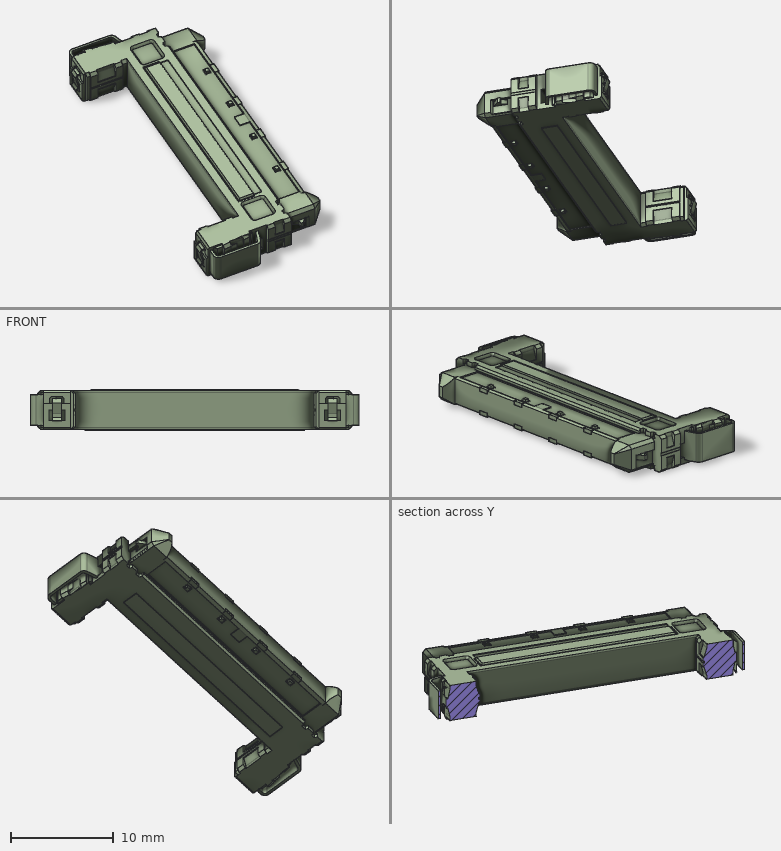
import cadquery as cq
import math

OVERALL_X = 32.0
OVERALL_Y = 13.75
OVERALL_Z = 4.0

TIP_Y = OVERALL_Y / 2
LATCH_Y = -OVERALL_Y / 2
CLIP_X = OVERALL_X / 2
BAR_Z = OVERALL_Z / 2

HOUSING_Z = 1.9
HOUSING_X = 14.4
HOUSING_BACK = 2.65
HOUSING_FRONT = -1.78
EDGE_CHAMFER = 0.3
SHOULDER_X = 14.8
SHOULDER_FRONT = 0.13
LIP_X = 11.8
LIP_DEPTH = 0.22

LEG_INNER = 11.78
LEG_OUTER = 14.7
LEG_FRONT = -6.2

CLIP_CORNER_Y = -1.27
CLIP_ROOT_X = 12.9
CLIP_ROOT_Y = -0.28

TONGUE_X = 13.83
TONGUE_Z = 1.42
TONGUE_BACK = 5.7
TONGUE_CHAMFER = 0.33
HORN_INNER = 11.63
PANEL_DEPTH = 0.1
PANEL_DRAFT = 30.0


def block(x0, x1, y0, y1, z0, z1):
    """Box between two opposite corners."""
    return cq.Workplane("XY").box(x1 - x0, y1 - y0, z1 - z0, centered=False).translate((x0, y0, z0))


def centered_block(x, width, y0, y1, z0, z1):
    """Box of the given width centered on x."""
    return block(x - width / 2, x + width / 2, y0, y1, z0, z1)


def plate(points, half_height):
    """Outline in the XY plane, extruded equally up and down."""
    return cq.Workplane("XY").polyline(points).close().extrude(half_height, both=True)


def both_ends(shape):
    """The shape together with its mirror image across the YZ plane."""
    return shape.union(shape.mirror("YZ"))


def both_faces(shape):
    """The shape together with its mirror image across the XY plane."""
    return shape.union(shape.mirror("XY"))


def ramp_window(face_x, depth, front, back):
    """Cut into an upper side face, shallow below and deep above, open to the top.

    A positive depth cuts towards +X and a negative one towards -X.
    """
    window_low, ramp_top, low_depth = 0.5, 1.48, 0.25 * depth
    floor_x = face_x + depth
    return (
        cq.Workplane("XZ", origin=(0, back, 0))
        .polyline([
            (face_x, window_low),
            (face_x + low_depth, window_low),
            (floor_x, ramp_top),
            (floor_x, HOUSING_Z),
            (face_x, HOUSING_Z),
        ])
        .close()
        .extrude(back - front)
    )


def horn():
    """Tapered guide horn at the left rear corner, its edge chamfer running out towards the tip."""
    tip_left, tip_right, tip_z, tip_chamfer = -12.63, -12.14, 0.57, 0.02
    bulge = (-11.8, 6.35)

    def section(left, half_height, chamfer):
        return [
            (left, chamfer - half_height),
            (left + chamfer, -half_height),
            (-HORN_INNER, -half_height),
            (-HORN_INNER, half_height),
            (left + chamfer, half_height),
            (left, half_height - chamfer),
        ]

    taper = (
        cq.Workplane("XZ", origin=(0, TONGUE_BACK, 0))
        .polyline(section(-TONGUE_X, TONGUE_Z, TONGUE_CHAMFER)).close()
        .workplane(offset=TONGUE_BACK - TIP_Y)
        .polyline(section(tip_left, tip_z, tip_chamfer)).close()
        .loft(ruled=True)
    )
    outline = (
        cq.Workplane("XY")
        .moveTo(-TONGUE_X, TONGUE_BACK)
        .lineTo(tip_left, TIP_Y)
        .lineTo(tip_right, TIP_Y)
        .threePointArc(bulge, (-HORN_INNER, TONGUE_BACK))
        .close()
        .extrude(TONGUE_Z, both=True)
    )
    return taper.intersect(outline)


def side_hook():
    """Catch window in the tongue side, and the hook with two ramps inside it."""
    floor_x = TONGUE_X - 0.3
    window_back, window_back_edge, window_low, window_high = 4.9, 5.07, -1.23, 0.28
    window = (
        cq.Workplane("XY", origin=(0, 0, window_low))
        .polyline([
            (-TONGUE_X, HOUSING_BACK),
            (-floor_x, HOUSING_BACK),
            (-floor_x, window_back),
            (-TONGUE_X, window_back_edge),
        ])
        .close()
        .extrude(window_high - window_low)
    )
    hook_x, hook_low, hook_high = 14.2, -0.33, 0.18
    hook_tail, hook_front, hook_nose = 3.4, 3.98, 4.8
    hook = (
        cq.Workplane("XY", origin=(0, 0, hook_low))
        .polyline([
            (-floor_x, hook_tail),
            (-TONGUE_X, hook_front),
            (-hook_x, hook_front),
            (-hook_x, 4.25),
            (-floor_x, hook_nose),
        ])
        .close()
        .extrude(hook_high - hook_low)
    )
    return window, hook


def tongue():
    """Plug tongue with its panels, contact stations, guide horns and side hooks."""
    body = block(-TONGUE_X, TONGUE_X, 0, TONGUE_BACK, -TONGUE_Z, TONGUE_Z)
    body = body.edges("|Y").chamfer(TONGUE_CHAMFER)

    slope_front, slope_drop = 5.3, 0.12
    slope = (
        cq.Workplane("YZ")
        .polyline([
            (slope_front, TONGUE_Z),
            (TONGUE_BACK, TONGUE_Z - slope_drop),
            (TONGUE_BACK, TONGUE_Z),
        ])
        .close()
        .extrude(HORN_INNER, both=True)
    )
    body = body.cut(both_faces(slope))

    panel_x, panel_front = 11.35, 2.95
    key_x, key_front = 0.63, 4.22
    panel = (
        cq.Workplane("XY", origin=(0, (panel_front + slope_front) / 2, TONGUE_Z))
        .rect(2 * panel_x, slope_front - panel_front)
        .extrude(-PANEL_DEPTH, taper=PANEL_DRAFT)
    )
    panel = panel.cut(block(-key_x, key_x, key_front, slope_front, 0, TONGUE_Z))
    body = body.cut(both_faces(panel))

    station_spacing, tab_width = 5.0, 1.1
    nub_center_y, nub_size, nub_length, nub_height = 4.73, 0.4, 0.36, 0.1
    frame_size, frame_length, frame_z = 0.7, 0.56, 1.15
    station_count, root_z = 4, 1.0
    frame_front = nub_center_y - frame_length / 2
    nub_front = nub_center_y - nub_length / 2
    tab_back = TONGUE_BACK + 0.05
    for index in range(station_count):
        x = (index - (station_count - 1) / 2) * station_spacing
        tab = centered_block(x, tab_width, slope_front, tab_back, root_z, TONGUE_Z)
        frame = centered_block(x, frame_size, frame_front, frame_front + frame_length, frame_z, TONGUE_Z)
        nub = centered_block(x, nub_size, nub_front, nub_front + nub_length, root_z, TONGUE_Z + nub_height)
        body = body.union(both_faces(tab))
        body = body.cut(both_faces(frame))
        body = body.union(both_faces(nub))

    window, hook = side_hook()
    body = body.union(both_ends(horn()))
    return body.cut(both_ends(window)).union(both_ends(hook))


def crossbar():
    """Beam between the legs, with the chamfered rear lip and the shoulders at its ends."""
    front_bevel_y, front_bevel_z = 0.04, 0.2
    bevel_z = HOUSING_Z - front_bevel_z
    bevel_y = HOUSING_FRONT + front_bevel_y
    core = (
        cq.Workplane("YZ")
        .polyline([
            (HOUSING_BACK, -HOUSING_Z),
            (bevel_y, -HOUSING_Z),
            (HOUSING_FRONT, -bevel_z),
            (HOUSING_FRONT, bevel_z),
            (bevel_y, HOUSING_Z),
            (HOUSING_BACK, HOUSING_Z),
        ])
        .close()
        .extrude(HOUSING_X, both=True)
    )
    lip = block(-LIP_X, LIP_X, 0, HOUSING_BACK + LIP_DEPTH, -HOUSING_Z, HOUSING_Z)
    lip = lip.edges("|X and >Y").chamfer(LIP_DEPTH)
    shoulders = block(-SHOULDER_X, SHOULDER_X, SHOULDER_FRONT, HOUSING_BACK, -HOUSING_Z, HOUSING_Z)
    shoulders = shoulders.edges("|Y").chamfer(EDGE_CHAMFER)
    return core.union(lip).union(shoulders)


def corner_pocket():
    """Drafted rectangular recess in the top face above the left leg."""
    floor_depth, wall_run, corner_radius = 0.28, 0.22, 0.4
    left, right, front, back = -13.35, -10.54, -0.84, 1.78
    draft = math.degrees(math.atan2(wall_run, floor_depth))
    return (
        cq.Workplane("XY", origin=((left + right) / 2, (front + back) / 2, HOUSING_Z))
        .sketch().rect(right - left, back - front).vertices().fillet(corner_radius).finalize()
        .extrude(-floor_depth, taper=draft)
    )


def shoulder_cuts():
    """Seam, two latch windows with edge notches and two rear notches on the left."""
    seam_depth = 0.06
    seam = block(-SHOULDER_X, -SHOULDER_X + seam_depth, SHOULDER_FRONT, HOUSING_BACK, -0.12, 0.15)
    window = ramp_window(-SHOULDER_X, 0.38, 0.89, 1.9)
    cuts = seam.union(both_faces(window))
    notch_depth, notch_slope = 0.28, 0.12
    for left, right in ((-TONGUE_X, -13.23), (-12.5, -LIP_X)):
        notch = (
            cq.Workplane("XY", origin=(0, 0, TONGUE_Z))
            .polyline([
                (left, HOUSING_BACK),
                (left + notch_slope, HOUSING_BACK - notch_depth),
                (right - notch_slope, HOUSING_BACK - notch_depth),
                (right, HOUSING_BACK),
            ])
            .close()
            .extrude(HOUSING_Z - TONGUE_Z)
        )
        cuts = cuts.union(both_faces(notch))
    return cuts


def pressure_bars(body):
    """Long pressure bars: raised on both faces, with a sunken strip behind the top one."""
    bar_front, bar_back = -0.75, 0.9
    top_x, bottom_x, strip_x = 10.2, 10.7, 10.1
    strip_back, strip_depth = 1.78, 0.1
    groove_x, groove_front = 10.3, -0.84
    strip = block(-strip_x, strip_x, bar_back, strip_back, HOUSING_Z - strip_depth, HOUSING_Z)
    groove = block(-groove_x, groove_x, groove_front, bar_back, HOUSING_Z - strip_depth, HOUSING_Z)
    top_bar = block(-top_x, top_x, bar_front, bar_back, 0, BAR_Z)
    top_bar = top_bar.edges(">Z and (<Y or <X or >X)").chamfer(0.15)
    bottom_bar = block(-bottom_x, bottom_x, bar_front, bar_back, -BAR_Z, 0)
    return body.cut(strip).cut(groove).union(top_bar).union(bottom_bar)


def leg():
    """Left leg with its inner guard plates and their latch windows."""
    core = block(-LEG_OUTER, -LEG_INNER, LEG_FRONT, 0, -HOUSING_Z, HOUSING_Z)
    core = core.edges("|Y and >X").chamfer(EDGE_CHAMFER)
    core = core.cut(block(-LEG_OUTER, -HOUSING_X, HOUSING_FRONT, 0, -HOUSING_Z, HOUSING_Z))

    guard_x, guard_front, guard_back, guard_seam = 11.62, -5.85, -2.35, 0.08
    guard = block(-LEG_INNER - EDGE_CHAMFER, -guard_x, guard_front, guard_back, guard_seam, HOUSING_Z)
    guard = guard.edges("|Y and >X and >Z").chamfer(EDGE_CHAMFER)
    window = ramp_window(-guard_x, -0.4, -5.06, -3.13)
    return core.union(both_faces(guard)).cut(both_faces(window))


def flank():
    """Wall leaning outward from the leg's outer side, with a latch window in each half."""
    root_x, step_x, step_y = 14.3, 14.6, -1.5
    back_x, back_y = 14.87, -1.95
    front_x, front_y = 15.3, -4.9
    wall = plate([(-root_x, back_y), (-back_x, back_y), (-front_x, front_y), (-root_x, front_y)], HOUSING_Z)
    long_edges = wall.faces("<X").edges("not |Z")
    wall = wall.newObject(long_edges.vals()).chamfer(EDGE_CHAMFER)

    window_front, window_back, window_depth = -4.1, -2.64, 0.3
    window_face_x = -back_x - (front_x - back_x) / 2
    window = ramp_window(window_face_x, window_depth, window_front, window_back)
    wall = wall.cut(both_faces(window))

    low_z, foot_x = 1.7, 14.97
    step = block(-step_x, -root_x, back_y, step_y, -low_z, low_z)
    foot = plate(
        [(-root_x, front_y), (-foot_x, front_y), (-foot_x, -5.5), (-LEG_OUTER, -5.8), (-root_x, -5.8)],
        low_z,
    )
    return wall.union(step).union(foot)


def side_clip():
    """Bent strip spring standing off the outer side of the leg."""
    thickness, half_height, bend_radius = 0.25, 1.5, 0.55
    inner_x = CLIP_X - thickness
    inner_y = LEG_FRONT + thickness
    end_x = 13.5
    strip = plate(
        [
            (-end_x, LEG_FRONT),
            (-CLIP_X, LEG_FRONT),
            (-CLIP_X, CLIP_CORNER_Y),
            (-CLIP_ROOT_X, CLIP_ROOT_Y),
            (-CLIP_ROOT_X, CLIP_ROOT_Y - thickness),
            (-inner_x, CLIP_CORNER_Y - thickness),
            (-inner_x, inner_y),
            (-end_x, inner_y),
        ],
        half_height,
    )
    strip = strip.edges("|Z and <X").fillet(bend_radius)
    inner_corners = cq.selectors.BoxSelector(
        (-inner_x - thickness / 2, inner_y - thickness / 2, -half_height),
        (-inner_x + thickness / 2, CLIP_CORNER_Y, half_height),
    )
    return strip.edges("|Z").edges(inner_corners).fillet(bend_radius - thickness)


def clip_opening():
    """Slot in the housing side behind the clip root."""
    return block(-HOUSING_X, -CLIP_ROOT_X, -0.9, CLIP_ROOT_Y, -1.25, 0.25)


def end_cap():
    """Front cap of the leg: upper and lower plate with a latch spring between two pockets."""
    left, right = -LEG_OUTER, -12.08
    split_z, upper_front, lower_front = 0.62, -6.43, -6.6
    edge_bevel = 0.2
    upper = block(left, right, upper_front, LEG_FRONT, split_z, HOUSING_Z)
    lower = block(left, right, lower_front, LEG_FRONT, -HOUSING_Z, split_z)
    upper = upper.edges("|X and <Y and >Z").chamfer(edge_bevel)
    lower = lower.edges("|X and <Y and <Z").chamfer(edge_bevel)
    pocket_left, pocket_right, pocket_back = -14.2, -12.65, -5.9
    upper_inset, upper_bevel = 0.08, 0.2
    upper_pocket = block(
        pocket_left + upper_inset, pocket_right - upper_inset, lower_front, pocket_back, split_z, 1.33
    )
    upper_pocket = upper_pocket.edges("|Y and >Z").chamfer(upper_bevel)
    lower_pocket = block(pocket_left, pocket_right, lower_front, pocket_back, -1.03, 0.0)

    spring_left, spring_right, thickness = -13.86, -12.95, 0.17
    root_y, top_z, bend_z, tail_z = -6.0, 1.1, 0.7, -0.9
    hold_low_z, hold_high_z = -0.72, -0.35
    inner_y = lower_front + thickness
    spring = (
        cq.Workplane("YZ", origin=(spring_left, 0, 0))
        .polyline([
            (root_y, top_z),
            (LATCH_Y + 0.2, top_z),
            (LATCH_Y, bend_z),
            (lower_front, hold_high_z),
            (lower_front, hold_low_z),
            (LATCH_Y, -1.0),
            (LATCH_Y + 0.08, -1.09),
            (-6.5, tail_z),
            (root_y, tail_z),
            (root_y, hold_low_z),
            (inner_y, hold_low_z),
            (inner_y, hold_high_z),
            (LATCH_Y + thickness, bend_z),
            (LATCH_Y + 0.25, top_z - thickness),
            (root_y, top_z - thickness),
        ])
        .close()
        .extrude(spring_right - spring_left)
    )
    return upper.union(lower), upper_pocket.union(lower_pocket), spring


def connector():
    """All features joined into one solid."""
    cap, cap_pockets, spring = end_cap()
    body = crossbar().union(both_ends(leg())).union(both_ends(flank()))
    body = body.cut(both_ends(corner_pocket())).cut(both_ends(shoulder_cuts()))
    body = body.cut(both_ends(clip_opening()))
    body = pressure_bars(body)
    body = body.union(tongue())
    body = body.union(both_ends(cap)).cut(both_ends(cap_pockets))
    return body.union(both_ends(spring)).union(both_ends(side_clip()))


result = connector()